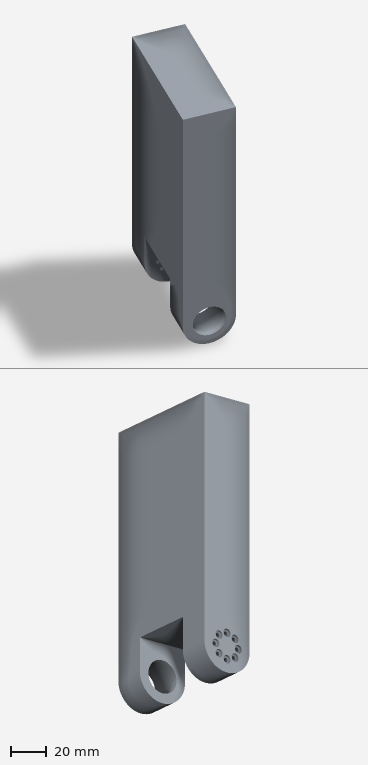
import cadquery as cq

width = 80.0
thickness = 32.0
height = 166.0
end_radius = thickness / 2
pivot_height = end_radius

arm_width = width / 4
slot_width = width - 2 * arm_width
slot_height = 36.0

bore_diameter = 20.0

screw_count = 8
screw_circle_radius = 8.0
screw_hole_diameter = 2.5
screw_head_diameter = 5.0
screw_head_depth = 1.3


def body():
    """Flat block along X with a half-round lower end."""
    profile = (
        cq.Workplane("YZ", origin=(-width / 2, 0, 0))
        .moveTo(-end_radius, pivot_height)
        .threePointArc((0, 0), (end_radius, pivot_height))
        .lineTo(end_radius, height)
        .lineTo(-end_radius, height)
        .close()
    )
    return profile.extrude(width)


def fork_slot():
    """Rectangular gap between the two arms."""
    return cq.Workplane("XY").rect(slot_width, thickness).extrude(slot_height)


def pivot_bore():
    """Round bore from the slot out through the +X face."""
    start = (slot_width / 2, 0, pivot_height)
    return cq.Workplane("YZ", origin=start).circle(bore_diameter / 2).extrude(arm_width)


def screw_ring(diameter, depth):
    """Cylinders on the screw circle, running inward from the -X face."""
    start = (-width / 2, 0, pivot_height)
    return (
        cq.Workplane("YZ", origin=start)
        .polarArray(screw_circle_radius, 0, 360, screw_count)
        .circle(diameter / 2)
        .extrude(depth)
    )


result = (
    body()
    .cut(fork_slot())
    .cut(pivot_bore())
    .cut(screw_ring(screw_hole_diameter, arm_width))
    .cut(screw_ring(screw_head_diameter, screw_head_depth))
)